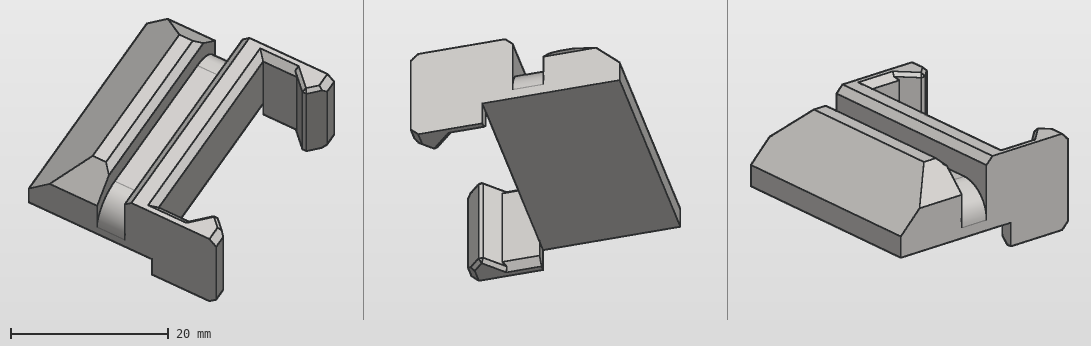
import cadquery as cq
import math

length = 27.4
width = 30.0
height = 13.25

nose_rise = 7.05
end_bevel = 4.0
edge_chamfer = 1.0
slot_start = 10.0
slot_end = 14.0
underside = 3.27
slot_round = 4.5

cavity_start = 18.0
arm_thickness = 1.75
hook_centre = 25.17
hook_peak = 4.02
hook_reach = 3.72
hook_chamfer = 0.5

slot_width = slot_end - slot_start
slot_floor = height - end_bevel
half_width = width / 2
cavity_half = half_width - arm_thickness


def make_block():
    """Side profile with the sloping nose and the slot, extruded across the width."""
    profile = [
        (0, underside),
        (cavity_start, underside),
        (cavity_start, 0),
        (length - edge_chamfer, 0),
        (length, edge_chamfer),
        (length, height - edge_chamfer),
        (length - edge_chamfer, height),
        (slot_end + edge_chamfer, height),
        (slot_end, height - edge_chamfer),
        (slot_end, slot_floor),
        (slot_start, slot_floor),
        (slot_start, height - edge_chamfer),
        (slot_start - edge_chamfer, height),
        (nose_rise, height),
        (0, height - nose_rise),
    ]
    return cq.Workplane("XZ").polyline(profile).close().extrude(half_width, both=True)


def make_end_cut(side):
    """Wedge that bevels the top of the nose at one end; side is +1 or -1."""
    corner = [
        (side * half_width, height - end_bevel),
        (side * half_width, height),
        (side * (half_width - end_bevel), height),
    ]
    return cq.Workplane("YZ").polyline(corner).close().extrude(slot_start)


def make_slot_round_cut(side):
    """Material outside the quarter-round at one end of the slot floor."""
    arc_start = half_width - slot_round
    square = (
        cq.Workplane("XY")
        .box(slot_width, slot_round, slot_round, centered=False)
        .translate((slot_start, arc_start, slot_floor - slot_round))
    )
    drum = (
        cq.Workplane("YZ", origin=(slot_start, 0, 0))
        .center(arc_start, slot_floor - slot_round)
        .circle(slot_round)
        .extrude(slot_width)
    )
    cut = square.cut(drum)
    return cut if side > 0 else cut.mirror("XZ")


def make_cavity():
    """Vertical opening between the arms, flared at its top and bottom rims."""
    cavity = (
        cq.Workplane("XY", origin=(cavity_start, 0, 0))
        .box(length - cavity_start, 2 * cavity_half, height, centered=(False, True, False))
    )
    flare_length = hook_centre - cavity_start
    flare_centre = (cavity_start + hook_centre) / 2
    for rim_height, inward in ((0, edge_chamfer), (height, -edge_chamfer)):
        flare = (
            cq.Workplane("XY", origin=(flare_centre, 0, rim_height))
            .rect(flare_length + 2 * edge_chamfer, 2 * (cavity_half + edge_chamfer))
            .workplane(offset=inward)
            .rect(flare_length, 2 * cavity_half)
            .loft(ruled=True)
        )
        cavity = cavity.union(flare)
    return cavity


def hook_triangle(peak):
    """Corners of a 45-degree triangle standing on the outer face of the -Y arm."""
    return [
        (hook_centre - peak, -half_width),
        (hook_centre + peak, -half_width),
        (hook_centre, peak - half_width),
    ]


def make_hook():
    """Barb of the -Y arm: a triangular prism, chamfered along its ramps and cut flat at the tip."""
    small_peak = hook_peak - hook_chamfer * math.sqrt(2)
    full = hook_triangle(hook_peak)
    small = hook_triangle(small_peak)
    prism_height = height - 2 * hook_chamfer
    barb = cq.Workplane("XY", origin=(0, 0, hook_chamfer)).polyline(full).close().extrude(prism_height)
    for rim_height, inward in ((0, hook_chamfer), (height, -hook_chamfer)):
        cap = (
            cq.Workplane("XY", origin=(0, 0, rim_height))
            .polyline(small)
            .close()
            .workplane(offset=inward)
            .polyline(full)
            .close()
            .loft(ruled=True)
        )
        barb = barb.union(cap)

    tip = hook_reach - half_width
    tip_edge = small_peak - half_width
    tip_profile = [
        (-half_width, 0),
        (tip_edge, 0),
        (tip, hook_chamfer),
        (tip, height - hook_chamfer),
        (tip_edge, height),
        (-half_width, height),
    ]
    tip_limit = cq.Workplane("YZ").polyline(tip_profile).close().extrude(length)
    return barb.intersect(tip_limit)


block = make_block()
hook = make_hook().intersect(block)

result = block.cut(make_cavity())
for side in (-1, 1):
    result = result.cut(make_end_cut(side)).cut(make_slot_round_cut(side))
result = result.union(hook).union(hook.mirror("XZ"))